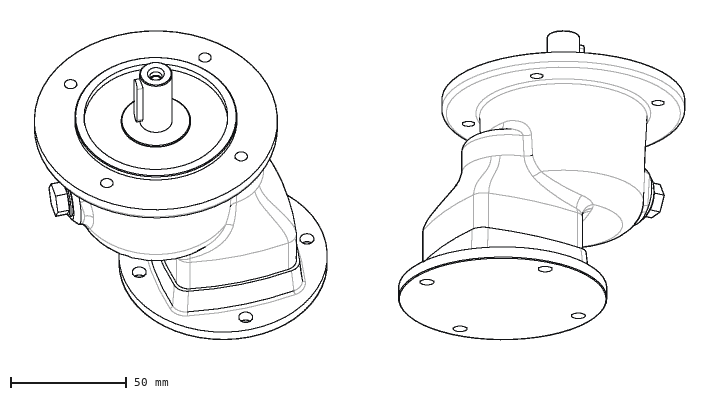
import cadquery as cq
import math

total_height = 129.5
base_thickness = 5.2
collar_top = 18.3
box_top = 35.1
cup_bottom = 38.6
housing_straight_start = 59.6
plug_height = 61.9
housing_top = 73.3
cup_top = 93.5
flange_top = 99.8
pilot_top = 102.2

base_offset = 30.0
base_diameter = 90.0
base_hole_diameter = 6.0
base_hole_circle = 75.0
base_edge_break = 0.4
box_half_width = 28.7
box_side_end = (22.0, 26.8)
box_corner_radius = 35.6
collar_top_half_width = 30.0
collar_foot_half_width = 31.2
collar_foot_fillet = 1.3

housing_radius = 20.1
housing_centre = 27.3
housing_top_fillet = 4.1
neck_steps = 3
neck_fillet = 5.2

cup_top_radius = 36.3
cup_lower_radius = 34.3
cup_dome_rise = 4.8
cup_corner_fillet = 11.4
cup_flange_fillet = 1.5

flange_diameter = 105.0
flange_rim_fillet = 2.0
flange_hole_diameter = 5.3
flange_hole_circle = 85.0
pilot_diameter = 70.0
pilot_edge_break = 0.4
recess_diameter = 62.0
recess_depth = 3.1
seal_diameter = 30.0
seal_height = 0.6
seal_edge_break = 0.4

shaft_diameter = 14.0
shaft_edge_break = 0.4
key_width = 5.0
key_bottom = 102.4
key_top = 127.2
key_reach = 9.1
centre_mouth_diameter = 7.3
centre_pilot_diameter = 5.3
centre_drill_diameter = 4.1
centre_pilot_depth = 3.9
centre_drill_depth = 13.0

boss_diameter = 25.0
boss_face = 39.4
boss_chamfer = 2.6
boss_fillet = 3.9
washer_diameter = 16.7
washer_face = 40.7
washer_chamfer = 0.5
plug_across_flats = 13.0
plug_face = 45.8


def cylinder(diameter, bottom, top, y=0.0):
    return cq.Workplane("XY", origin=(0, y, bottom)).circle(diameter / 2).extrude(top - bottom)


def bulged_square(plane, mid_radius, end_radius, corner_radius, front_shift=0.0):
    """Draw a rounded square with bowed sides from its radii at mid side, side end and corner.

    The front side can be moved forward by front_shift, stretching its two corners with it.
    """
    end_angle = math.degrees(math.atan2(*box_side_end))

    def point(radius, angle, shift=0.0):
        a = math.radians(angle)
        return (radius * math.cos(a), radius * math.sin(a) - shift)

    outline = plane.moveTo(*point(end_radius, -end_angle))
    for side in (0, 90, 180, 270):
        shift = front_shift if side == 270 else 0.0
        next_shift = front_shift if side == 180 else 0.0
        outline = outline.threePointArc(
            point(mid_radius, side, shift), point(end_radius, side + end_angle, shift)
        )
        outline = outline.threePointArc(
            point(corner_radius, side + 45, (shift + next_shift) / 2),
            point(end_radius, side + 90 - end_angle, next_shift),
        )
    return outline.close()


def box_section(plane, half_width):
    size = half_width / box_half_width
    return bulged_square(
        plane, half_width, size * math.hypot(*box_side_end), size * box_corner_radius
    )


def make_base():
    base = cylinder(base_diameter, 0, base_thickness, base_offset)
    base = base.faces("<Z").edges().chamfer(base_edge_break)
    collar = cq.Workplane("XY", origin=(0, base_offset, base_thickness))
    collar = box_section(collar, collar_foot_half_width)
    collar = collar.workplane(offset=collar_top - base_thickness)
    collar = box_section(collar, collar_top_half_width).loft(ruled=True)
    foot = cq.selectors.BoxSelector(
        (-base_offset - 6.5, base_offset - 38.8, base_thickness - 0.1),
        (base_offset + 6.5, base_offset + 38.8, base_thickness + 0.1),
    )
    body = base.union(collar)
    foot_edges = [
        e for e in body.edges(foot).vals()
        if e.Length() < math.pi * base_diameter / 2
    ]
    body = body.newObject(foot_edges).fillet(collar_foot_fillet)
    holes = (
        cq.Workplane("XY", origin=(0, base_offset, 0))
        .polarArray(base_hole_circle / 2, 0, 360, 4)
        .circle(base_hole_diameter / 2)
        .extrude(base_thickness)
    )
    return body.cut(holes)


def make_gear_housing():
    box = cq.Workplane("XY", origin=(0, base_offset, collar_top))
    box = box_section(box, box_half_width).extrude(box_top - collar_top)

    square_radii = (box_half_width, math.hypot(*box_side_end), box_corner_radius)
    sections = []
    for step in range(neck_steps + 1):
        t = step / neck_steps
        blend = 3 * t**2 - 2 * t**3
        centre = base_offset + blend * (housing_centre - base_offset)
        height = box_top + t * (housing_straight_start - box_top)
        plane = cq.Workplane("XY", origin=(0, centre, height))
        radii = [r + blend * (housing_radius - r) for r in square_radii]
        front_shift = (centre - radii[0]) - (base_offset - box_half_width)
        sections.append(bulged_square(plane, *radii, front_shift).wires().val())
    neck = cq.Workplane(cq.Solid.makeLoft(sections, False))

    top = cylinder(2 * housing_radius, housing_straight_start, housing_top, housing_centre)
    top = top.faces(">Z").edges().fillet(housing_top_fillet)
    return box.union(neck).union(top)


def make_cup():
    dome_radius = (cup_lower_radius**2 + cup_dome_rise**2) / (2 * cup_dome_rise)
    half_way = cup_lower_radius / 2
    half_rise = dome_radius - math.sqrt(dome_radius**2 - half_way**2)
    corner = (cup_lower_radius, cup_bottom + cup_dome_rise)
    cup = (
        cq.Workplane("XZ")
        .moveTo(0, cup_bottom)
        .threePointArc((half_way, cup_bottom + half_rise), corner)
        .lineTo(cup_top_radius, cup_top)
        .lineTo(0, cup_top)
        .close()
        .revolve(360, (0, 0), (0, 1))
    )
    lower_rim = cq.selectors.BoxSelector(
        (-51.8, -51.8, corner[1] - 0.1), (51.8, 51.8, corner[1] + 0.1), boundingbox=True
    )
    return cup.edges(lower_rim).fillet(cup_corner_fillet)


def joint_edges(joined, first, second):
    """Edges of a joined body that lie on the surfaces of both of its parts."""
    skins = [part.val().Shells()[0] for part in (first, second)]

    def on_both(edge):
        middle = cq.Vertex.makeVertex(*edge.positionAt(0.5).toTuple())
        return all(middle.distance(skin) < 0.001 for skin in skins)

    return joined.newObject([edge for edge in joined.edges().vals() if on_both(edge)])


def along_front(diameter, start, end):
    """Cylinder pointing to -Y on the axis of the oil plug."""
    return (
        cq.Workplane("XZ", origin=(0, -start, plug_height)).circle(diameter / 2).extrude(end - start)
    )


def make_boss():
    boss = along_front(boss_diameter, cup_lower_radius / 2, boss_face)
    return boss.faces("<Y").chamfer(boss_chamfer)


def make_plug():
    washer = along_front(washer_diameter, boss_face, washer_face)
    washer = washer.faces("<Y").chamfer(washer_chamfer)
    head = (
        cq.Workplane("XZ", origin=(0, -washer_face, plug_height))
        .transformed(rotate=(0, 0, 30))
        .polygon(6, plug_across_flats, circumscribed=True)
        .extrude(plug_face - washer_face)
    )
    return washer.union(head)


def make_flange():
    flange = cylinder(flange_diameter, cup_top, flange_top)
    flange = flange.faces("<Z").edges().fillet(flange_rim_fillet)
    pilot = cylinder(pilot_diameter, flange_top, pilot_top)
    pilot = pilot.faces(">Z").edges().chamfer(pilot_edge_break)
    return flange.union(pilot)


def cut_flange(part):
    """Cut the pilot recess and the four mounting holes."""
    recess = cylinder(recess_diameter, pilot_top - recess_depth, pilot_top)
    holes = (
        cq.Workplane("XY", origin=(0, 0, cup_top))
        .polarArray(flange_hole_circle / 2, 45, 360, 4)
        .circle(flange_hole_diameter / 2)
        .extrude(flange_top - cup_top)
    )
    return part.cut(recess).cut(holes)


def make_shaft():
    recess_floor = pilot_top - recess_depth
    seal = cylinder(seal_diameter, recess_floor, recess_floor + seal_height)
    seal = seal.faces(">Z").edges().chamfer(seal_edge_break)
    shaft = cylinder(shaft_diameter, recess_floor, total_height)
    shaft = shaft.faces(">Z").edges().chamfer(shaft_edge_break)
    key = (
        cq.Workplane("XZ", origin=(0, 0, (key_bottom + key_top) / 2))
        .slot2D(key_top - key_bottom, key_width, 90)
        .extrude(key_reach)
    )
    return seal.union(shaft).union(key).cut(make_centre_hole())


def make_centre_hole():
    mouth = centre_mouth_diameter / 2
    pilot = centre_pilot_diameter / 2
    drill = centre_drill_diameter / 2
    half_tip = math.radians(60)
    mouth_bottom = total_height - (mouth - pilot) * math.tan(half_tip)
    pilot_bottom = total_height - centre_pilot_depth
    drill_bottom = total_height - centre_drill_depth
    return (
        cq.Workplane("XZ")
        .moveTo(0, total_height)
        .lineTo(mouth, total_height)
        .lineTo(pilot, mouth_bottom)
        .lineTo(pilot, pilot_bottom)
        .lineTo(drill, pilot_bottom)
        .lineTo(drill, drill_bottom)
        .lineTo(0, drill_bottom - drill / math.tan(half_tip))
        .close()
        .revolve(360, (0, 0), (0, 1))
    )


housing = make_gear_housing()
cup = make_cup()
body = housing.union(cup)
body = joint_edges(body, housing, cup).fillet(neck_fillet)

boss = make_boss()
body_with_boss = body.union(boss)
body = joint_edges(body_with_boss, body, boss).fillet(boss_fillet)

flange = make_flange()
body_with_flange = body.union(flange)
body = joint_edges(body_with_flange, cup, flange).fillet(cup_flange_fillet)

result = cut_flange(body).union(make_base()).union(make_plug()).union(make_shaft())